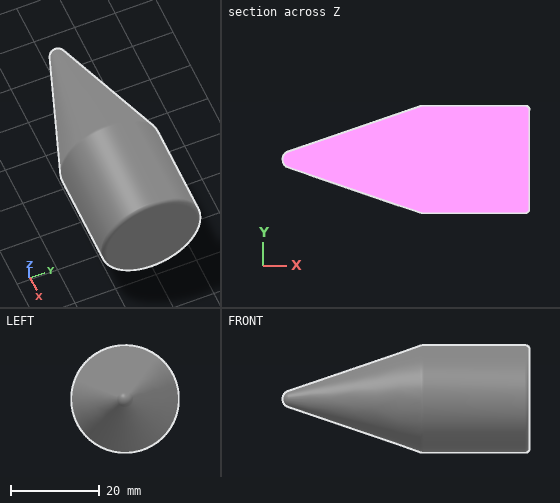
import cadquery as cq
import math

length = 56.1
body_diameter = 24.5
body_radius = body_diameter / 2

tip_radius = 1.95
shoulder_radius = 2.0
end_fillet = 1.0

cylinder_length = 24.1

tip_x = -length / 2
end_x = length / 2
cylinder_start_x = end_x - cylinder_length

tip_centre_x = tip_x + tip_radius
shoulder_centre_radius = body_radius - shoulder_radius
centre_run = cylinder_start_x - tip_centre_x
centre_distance = math.hypot(centre_run, shoulder_centre_radius)
half_angle = (math.atan2(shoulder_centre_radius, centre_run)
              + math.asin((shoulder_radius - tip_radius) / centre_distance))


def arc_point(centre_x, centre_r, radius, angle):
    """Point on an arc, with the angle measured from the radial direction towards -X."""
    return (centre_x - radius * math.sin(angle), centre_r + radius * math.cos(angle))


def tip_point(angle):
    return arc_point(tip_centre_x, 0, tip_radius, angle)


def shoulder_point(angle):
    return arc_point(cylinder_start_x, shoulder_centre_radius, shoulder_radius, angle)


profile = (
    cq.Workplane("XY")
    .moveTo(tip_x, 0)
    .threePointArc(tip_point((half_angle + math.pi / 2) / 2), tip_point(half_angle))
    .lineTo(*shoulder_point(half_angle))
    .threePointArc(shoulder_point(half_angle / 2), (cylinder_start_x, body_radius))
    .lineTo(end_x, body_radius)
    .lineTo(end_x, 0)
    .close()
)
body = profile.revolve(360, (0, 0, 0), (1, 0, 0))

result = body.faces(">X").edges().fillet(end_fillet)